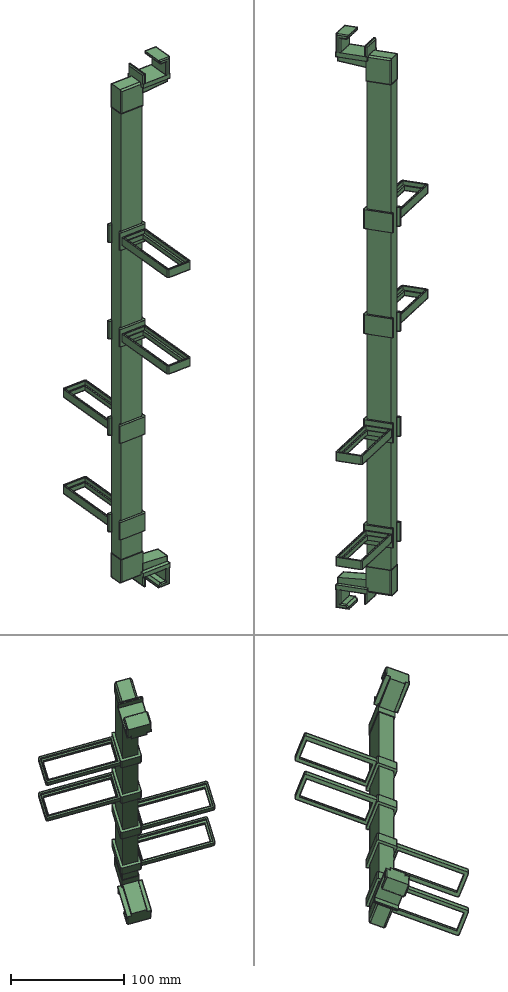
import cadquery as cq

total_height = 547.0
total_width = 155.5

post_width = 14.0
post_depth = 23.0

cap_width = 16.0
cap_depth = 24.0
cap_height = 24.5
cap_top_chamfer = 1.5
bracket_chamfer = 1.0
hook_width = 22.5
hook_thickness = 4.5
hook_rise = 17.5
hook_back = 39.5
hook_lip_length = 12.0
lip_tip_chamfer = 2.0
upstand_thickness = 2.0
upstand_rise = 10.0
rib_width = 14.0
rib_drop_at_hook = 5.5
rib_drop_at_cap = 7.5

arm_spacing = 100.0
arm_middle_level = 0.3
collar_wall = 2.45
collar_height = 18.0
arm_corner_chamfer = 1.0
snap_depth = 3.0
snap_overlap = 1.0
snap_flat = 2.0
snap_land = 0.5
frame_width = 25.0
frame_height = 8.0
frame_below_collar_top = 5.0
frame_offset = 0.3
frame_rim = 1.5
frame_step = 4.0
opening_width = 18.0
opening_start = 12.0
end_bar = 3.5

bracket_top = total_height / 2
cap_top = bracket_top - hook_rise
cap_bottom = cap_top - cap_height
plate_bottom = cap_top - hook_thickness
cap_back = cap_depth / 2
post_side = post_width / 2
post_front = -post_depth / 2
post_back = post_depth / 2
collar_side = post_side + collar_wall
collar_front = post_front - snap_depth
collar_back = post_back + collar_wall
frame_end = total_width / 2


def block(x_range, y_range, z_range):
    """Box between the given limits along each axis."""
    size = [high - low for low, high in (x_range, y_range, z_range)]
    corner = (x_range[0], y_range[0], z_range[0])
    return cq.Workplane("XY").box(*size, centered=False).translate(corner)


def extrude_profile(points, width):
    """Extrude a closed YZ outline to both sides of X = 0."""
    return cq.Workplane("YZ").polyline(points).close().extrude(width / 2, both=True)


def make_post():
    return cq.Workplane("XY").box(post_width, post_depth, 2 * cap_bottom)


def make_cap():
    cap = block(
        (-cap_width / 2, cap_width / 2),
        (-cap_back, cap_back),
        (cap_bottom, cap_top),
    )
    cap = cap.faces("<Y").edges("|Z").chamfer(bracket_chamfer)
    return cap.faces(">Z").edges("|Y").chamfer(cap_top_chamfer)


def make_hook():
    """C-shaped hook: a base plate, a back wall and a lip over the plate."""
    wall_front = hook_back - hook_thickness
    lip_bottom = bracket_top - hook_thickness
    lip_front = hook_back - hook_lip_length
    wall_and_lip = extrude_profile(
        [
            (hook_back, plate_bottom),
            (hook_back, bracket_top),
            (lip_front, bracket_top),
            (lip_front, lip_bottom + lip_tip_chamfer),
            (lip_front + lip_tip_chamfer, lip_bottom),
            (wall_front, lip_bottom),
            (wall_front, plate_bottom),
        ],
        hook_width,
    )
    wall_and_lip = wall_and_lip.faces("<X or >X").edges("not <Z").chamfer(bracket_chamfer)
    plate = block(
        (-hook_width / 2, hook_width / 2),
        (cap_back - upstand_thickness, hook_back),
        (plate_bottom, cap_top),
    )
    return plate.union(wall_and_lip)


def make_upstand():
    upstand = block(
        (-hook_width / 2, hook_width / 2),
        (cap_back - upstand_thickness, cap_back),
        (plate_bottom, cap_top + upstand_rise),
    )
    return upstand.faces("<Y").edges("not <Z").chamfer(bracket_chamfer)


def make_rib():
    """Stiffening rib under the hook plate, deepest at the cap."""
    cap_end_level = plate_bottom - rib_drop_at_cap
    return extrude_profile(
        [
            (0, plate_bottom),
            (hook_back, plate_bottom),
            (hook_back, plate_bottom - rib_drop_at_hook),
            (cap_back, cap_end_level),
            (0, cap_end_level),
        ],
        rib_width,
    )


def make_top_bracket():
    return make_cap().union(make_hook()).union(make_upstand()).union(make_rib())


def make_collar():
    """C-shaped collar that is open at the front between two tapered snap lips."""
    lip_side = post_side - snap_overlap
    lip_start = post_front - snap_land
    half_outline = [
        (collar_side, collar_back),
        (collar_side, collar_front),
        (collar_side - snap_flat, collar_front),
        (lip_side, lip_start),
        (lip_side, post_front),
        (post_side, post_front),
        (post_side, post_back),
    ]
    mirrored = [(-x, y) for x, y in reversed(half_outline)]
    collar = cq.Workplane("XY").polyline(half_outline + mirrored).close().extrude(collar_height)
    collar = collar.faces(">Y").edges("|Z").chamfer(arm_corner_chamfer)
    return collar.translate((0, 0, -collar_height / 2))


def make_frame():
    """Flat frame on the +X side, with a raised rim around a lower inner ledge."""
    top = collar_height / 2 - frame_below_collar_top
    bottom = top - frame_height
    back = frame_offset + frame_width / 2
    front = frame_offset - frame_width / 2
    opening_end = frame_end - end_bar
    frame = block((collar_side, frame_end), (front, back), (bottom, top))
    frame = frame.faces(">X").edges("|Z").chamfer(arm_corner_chamfer)
    recess = block(
        (collar_side + frame_rim, frame_end - frame_rim),
        (front + frame_rim, back - frame_rim),
        (top - frame_step, top),
    )
    opening = block(
        (opening_start, opening_end),
        (-opening_width / 2, opening_width / 2),
        (bottom, top),
    )
    return frame.cut(recess).cut(opening)


def make_arm(turn, level):
    """Arm at the given height, its frame turned about Z to point to +X (0) or -X (180)."""
    frame = make_frame().rotate((0, 0, 0), (0, 0, 1), turn)
    return make_collar().union(frame).translate((0, 0, level))


post = make_post()
top_bracket = make_top_bracket()
bottom_bracket = top_bracket.mirror("XY")
arms = [
    make_arm(turn, arm_middle_level + step * arm_spacing)
    for step, turn in ((1, 0), (0, 0), (-1, 180), (-2, 180))
]

result = cq.Compound.makeCompound(
    [post.val(), top_bracket.val(), bottom_bracket.val(), *[arm.val() for arm in arms]]
)